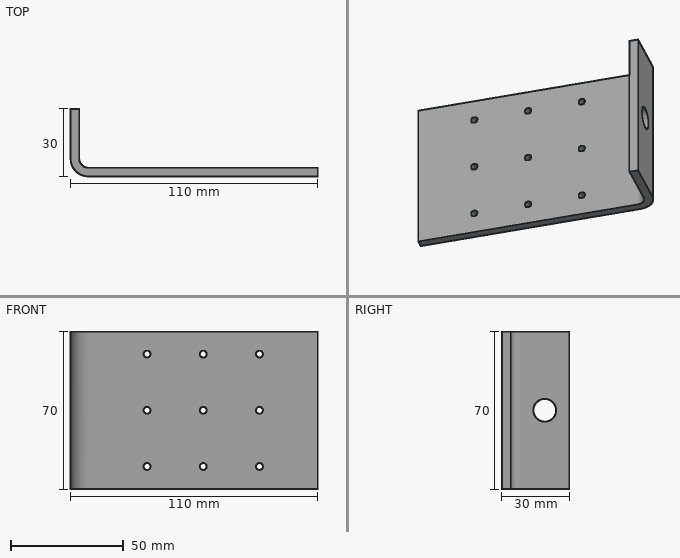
import cadquery as cq

length = 110.0
depth = 30.0
height = 70.0
thickness = 4.0
outer_bend_radius = 8.0
inner_bend_radius = outer_bend_radius - thickness

grid_count = 3
grid_spacing = 25.0
grid_hole_diameter = 3.0

flange_hole_diameter = 10.0

wall_center_x = (outer_bend_radius + length) / 2
flange_center_y = (outer_bend_radius + depth) / 2
center_z = height / 2


def bent_plate():
    """L-shaped plate: long wall along X, short flange along Y, rounded bend at the origin."""
    outline = (
        cq.Workplane("XY")
        .rect(length, depth, centered=False)
        .extrude(height)
        .edges("|Z and <X and <Y")
        .fillet(outer_bend_radius)
    )
    inside = (
        cq.Workplane("XY")
        .moveTo(thickness, thickness)
        .rect(length - thickness, depth - thickness, centered=False)
        .extrude(height)
        .edges("|Z and <X and <Y")
        .fillet(inner_bend_radius)
    )
    return outline.cut(inside)


def wall_holes():
    """Square grid of pins that cut through the long wall."""
    return (
        cq.Workplane("XZ", origin=(wall_center_x, 0, center_z))
        .rarray(grid_spacing, grid_spacing, grid_count, grid_count)
        .circle(grid_hole_diameter / 2)
        .extrude(-thickness)
    )


def flange_hole():
    """Pin that cuts through the short flange."""
    return (
        cq.Workplane("YZ", origin=(0, flange_center_y, center_z))
        .circle(flange_hole_diameter / 2)
        .extrude(thickness)
    )


result = bent_plate().cut(wall_holes()).cut(flange_hole())